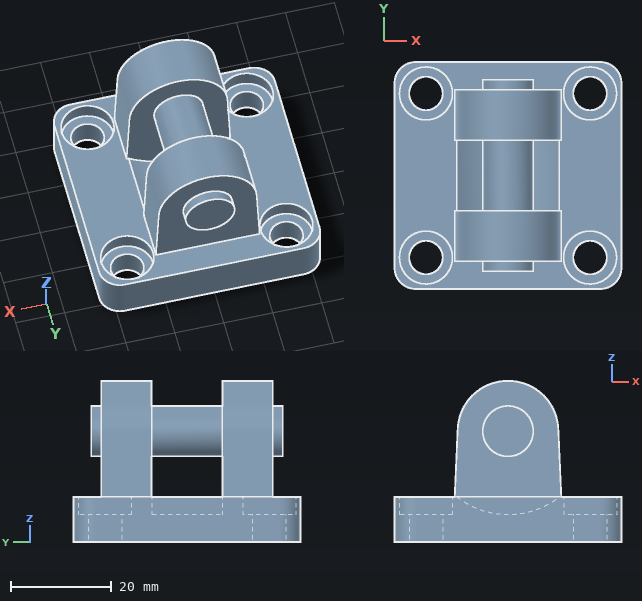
import cadquery as cq
import math

base_side = 45.0
base_height = 9.0
corner_radius = 4.25

hole_pitch = 32.5
hole_diameter = 6.6
counterbore_diameter = 10.5
counterbore_depth = 3.5

ear_radius = 10.0
ear_thickness = 10.0
ear_gap = 14.0
ear_draft = math.radians(2.5)

pin_axis_height = 22.0
pin_diameter = 10.0
pin_length = 38.0

groove_diameter = 33.0


def cylinder_along_y(diameter, length, axis_height):
    """Cylinder parallel to Y, centred on Y = 0, above the middle of the base."""
    return (
        cq.Workplane("XZ")
        .center(0, axis_height)
        .circle(diameter / 2)
        .extrude(length / 2, both=True)
    )


def make_base():
    return (
        cq.Workplane("XY")
        .rect(base_side, base_side)
        .extrude(base_height)
        .edges("|Z")
        .fillet(corner_radius)
        .cut(cylinder_along_y(groove_diameter, ear_gap, pin_axis_height))
        .faces(">Z")
        .workplane(origin=(0, 0, base_height))
        .rect(hole_pitch, hole_pitch, forConstruction=True)
        .vertices()
        .cboreHole(hole_diameter, counterbore_diameter, counterbore_depth)
    )


def make_ear(y_start):
    """Ear from y_start towards +Y, its drafted flanks tangent to the round top."""
    rise = pin_axis_height - base_height
    foot_half_width = (ear_radius + rise * math.sin(ear_draft)) / math.cos(ear_draft)
    tangent_x = ear_radius * math.cos(ear_draft)
    tangent_z = pin_axis_height + ear_radius * math.sin(ear_draft)
    return (
        cq.Workplane("XZ", origin=(0, y_start, 0))
        .moveTo(-foot_half_width, base_height)
        .lineTo(-tangent_x, tangent_z)
        .threePointArc((0, pin_axis_height + ear_radius), (tangent_x, tangent_z))
        .lineTo(foot_half_width, base_height)
        .close()
        .extrude(-ear_thickness)
    )


result = make_base()
for ear_start in (ear_gap / 2, -ear_gap / 2 - ear_thickness):
    result = result.union(make_ear(ear_start))
result = result.union(cylinder_along_y(pin_diameter, pin_length, pin_axis_height))